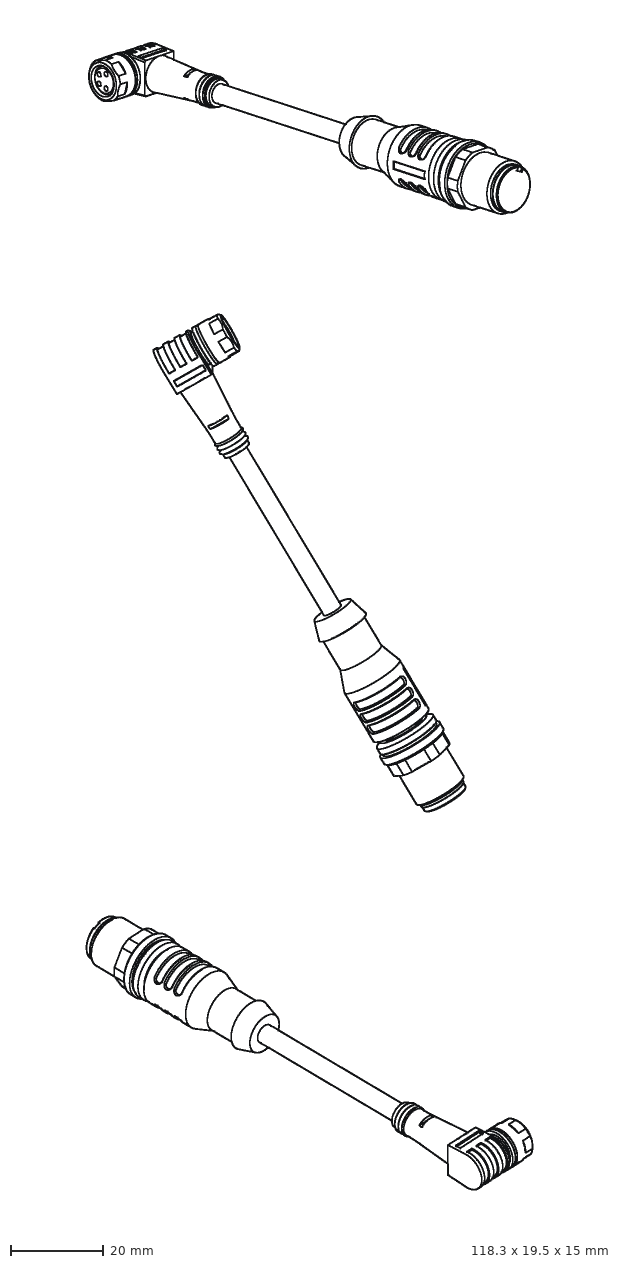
import cadquery as cq
import math

total_length = 118.3
total_depth = 19.5
flange_radius = 15.0 / 2
cut_margin = 1.2

nut_radius = 9.6 / 2
socket_x = nut_radius
head_radius = 4.5
head_x = head_radius
head_half_depth = 4.5
head_end_x = 10.2
head_end_half_height = 4.1
head_chamfer = 0.4
finger_groove_depth = 0.4
finger_groove_width = 1.5
finger_groove_pitch = 2.8
finger_groove_end_x = 5.3
head_window_x = 8.0
head_window_width = 1.4
head_window_length = 7.2
head_window_floor_z = 3.8
sleeve_shoulder_x = 22.2
sleeve_radius = 3.3
sleeve_rings_x = 24.6
sleeve_ring_height = 0.2
sleeve_ring_pitch = 1.1
sleeve_ring_count = 3
sleeve_tip_x = 27.5
sleeve_tip_radius = 3.1
sleeve_end_x = 28.4
sleeve_slot_x = 20.5
sleeve_slot_width = 0.8
sleeve_slot_floor_z = 2.5

neck_radius = 4.0
nut_back_y = -5.2
nut_front_y = flange_radius - total_depth
nut_chamfer = 0.6
nut_groove_y = -6.4
nut_groove_width = 0.6
nut_groove_depth = 0.06
nut_flat_back_y = -9.2
nut_flat_width = 3.1
nut_flat_count = 6
nut_flat_start_angle = 45
nut_bore_radius = 7.0 / 2
nut_bore_depth = 1.8
insert_radius = 6.5 / 2
insert_tip_radius = 5.7 / 2
insert_setback = 0.5
contact_diameter = 1.1
contact_depth = 4.7
contact_places = [(-1.5, 1.1), (-1.5, -1.1), (0.6, 1.7), (0.6, -1.7)]

cable_radius = 4.4 / 2

boot_x = 69.6
boot_radius = 4.6
boot_lip_x = 74.0
boot_lip_radius = 5.9
boot_neck_radius = 10.4 / 2
body_cone_x = 81.8
body_x = 86.6
body_radius = 7.0
body_end_x = 99.2
plug_neck_radius = 9.6 / 2
grip_first_x = 90.0
grip_pitch = 3.0
grip_count = 3
grip_width = 2.2
grip_floor_width = 1.8
grip_floor_radius = 6.5
grip_end_z = 3.0
label_x = 93.1
label_length = 9.6
label_height = 1.8
label_depth = 0.4

coupling_x = 100.1
coupling_edge_radius = 5.9
coupling_rim_x = 100.8
coupling_radius = 7.1
coupling_groove_x = 102.2
coupling_groove_radius = 6.7
flange_x = 102.9
flange_end_x = 105.0
flange_chamfer = 0.4
hex_end_x = 108.0
hex_corner_radius = 14.1 / 2
hex_flat_distance = 6.6
hex_sides = 6
thread_radius = 12.0 / 2
thread_end_x = 116.0
tip_x = 116.4
tip_ridge_radius = 5.3
tip_ridge_width = 0.6
tip_radius = 10.4 / 2
tip_chamfer = 0.2
key_angle = 24
key_width = 1.7
key_depth = 0.41
key_inner_radius = 4.1


def revolve_about_x(points):
    """Turn an (X, radius) outline, closed along the axis, about the X axis."""
    outline = [(points[0][0], 0), *points, (points[-1][0], 0)]
    return cq.Workplane("XY").polyline(outline).close().revolve(360, (0, 0, 0), (1, 0, 0))


def socket_plane(y):
    """Plane facing -Y, centred on the socket axis, with local axes X and Z."""
    return cq.Workplane("XZ", origin=(socket_x, y, 0))


def make_head_core(inset):
    """D-shaped block: round toward -X, with tangent sides narrowing toward +X."""
    radius = head_radius - inset
    end_x = head_end_x - head_x
    end_z = head_end_half_height - inset
    corner_angle = math.atan2(end_z, end_x)
    tangent_angle = corner_angle + math.acos(radius / math.hypot(end_x, end_z))
    tangent_x = radius * math.cos(tangent_angle)
    tangent_z = radius * math.sin(tangent_angle)
    return (
        cq.Workplane("XZ", origin=(head_x, 0, 0))
        .moveTo(tangent_x, tangent_z)
        .threePointArc((-radius, 0), (tangent_x, -tangent_z))
        .lineTo(end_x, -end_z)
        .lineTo(end_x, end_z)
        .close()
        .extrude(head_half_depth, both=True)
    )


def make_head():
    head = make_head_core(0).faces("<Y").edges("not(>X)").chamfer(head_chamfer)
    core = make_head_core(finger_groove_depth)
    band_length = finger_groove_end_x + cut_margin
    for step in (-1, 0, 1):
        band = cq.Workplane("XY").box(band_length, finger_groove_width, 4 * head_radius)
        band = band.translate(
            (finger_groove_end_x - band_length / 2, step * finger_groove_pitch, 0)
        )
        head = head.cut(band.cut(core))
    for side in (-1, 1):
        window = cq.Workplane("XY").box(head_window_width, head_window_length, 2 * cut_margin)
        head = head.cut(window.translate((head_window_x, 0, side * (head_window_floor_z + cut_margin))))
    return head


def make_sleeve():
    profile = (
        cq.Workplane("XY")
        .moveTo(head_end_x, 0)
        .lineTo(head_end_x, head_end_half_height)
        .lineTo(sleeve_shoulder_x, sleeve_radius)
        .lineTo(sleeve_rings_x, sleeve_radius)
    )
    half_pitch = sleeve_ring_pitch / 2
    for index in range(2 * sleeve_ring_count - 1):
        start_x = sleeve_rings_x + index * half_pitch
        height = sleeve_ring_height if index % 2 == 0 else -sleeve_ring_height
        profile = profile.threePointArc(
            (start_x + half_pitch / 2, sleeve_radius + height),
            (start_x + half_pitch, sleeve_radius),
        )
    sleeve = (
        profile.lineTo(sleeve_tip_x, sleeve_tip_radius)
        .lineTo(sleeve_end_x, sleeve_tip_radius)
        .lineTo(sleeve_end_x, 0)
        .close()
        .revolve(360, (0, 0, 0), (1, 0, 0))
    )
    for side in (-1, 1):
        slot = cq.Workplane("XY").box(sleeve_slot_width, 4 * sleeve_radius, 2 * cut_margin)
        sleeve = sleeve.cut(slot.translate((sleeve_slot_x, 0, side * (sleeve_slot_floor_z + cut_margin))))
    return sleeve


def make_nut():
    length = nut_back_y - nut_front_y
    nut = socket_plane(nut_back_y).circle(nut_radius).extrude(length).faces("<Y").chamfer(nut_chamfer)
    groove = (
        socket_plane(nut_groove_y + nut_groove_width / 2)
        .circle(nut_radius + cut_margin)
        .circle(nut_radius - nut_groove_depth)
        .extrude(nut_groove_width)
    )
    nut = nut.cut(groove)
    flat_distance = math.sqrt(nut_radius**2 - (nut_flat_width / 2) ** 2)
    for index in range(nut_flat_count):
        angle = nut_flat_start_angle + index * 360 / nut_flat_count
        flat = (
            socket_plane(nut_flat_back_y)
            .transformed(rotate=(0, 0, angle))
            .center(flat_distance + cut_margin, 0)
            .rect(2 * cut_margin, 2 * nut_radius)
            .extrude(nut_flat_back_y - nut_front_y)
        )
        nut = nut.cut(flat)

    bore_floor_y = nut_front_y + nut_bore_depth
    nut = nut.cut(socket_plane(bore_floor_y).circle(nut_bore_radius).extrude(nut_bore_depth))
    insert = (
        socket_plane(bore_floor_y)
        .circle(insert_radius)
        .extrude(nut_bore_depth - insert_setback)
        .faces("<Y")
        .chamfer(insert_radius - insert_tip_radius)
    )
    contacts = (
        socket_plane(nut_front_y + contact_depth)
        .pushPoints(contact_places)
        .circle(contact_diameter / 2)
        .extrude(contact_depth)
    )
    neck = socket_plane(-head_half_depth).circle(neck_radius).extrude(-head_half_depth - nut_back_y)
    return nut.union(insert).cut(contacts).union(neck)


def make_cable():
    start_x = sleeve_end_x - cut_margin
    length = boot_x + cut_margin - start_x
    return cq.Workplane("YZ", origin=(start_x, 0, 0)).circle(cable_radius).extrude(length)


def make_plug():
    return revolve_about_x(
        [
            (boot_x, boot_radius),
            (boot_lip_x, boot_lip_radius),
            (boot_lip_x, boot_neck_radius),
            (body_cone_x, boot_neck_radius),
            (body_x, body_radius),
            (body_end_x, body_radius),
            (body_end_x, plug_neck_radius),
            (coupling_x, plug_neck_radius),
            (coupling_x, coupling_edge_radius),
            (coupling_rim_x, coupling_radius),
            (coupling_groove_x, coupling_radius),
            (coupling_groove_x, coupling_groove_radius),
            (flange_x, coupling_groove_radius),
            (flange_x, flange_radius),
            (flange_end_x - flange_chamfer, flange_radius),
            (flange_end_x, flange_radius - flange_chamfer),
            (flange_end_x, hex_corner_radius),
            (hex_end_x, hex_corner_radius),
            (hex_end_x, thread_radius),
            (thread_end_x, thread_radius),
            (tip_x, tip_ridge_radius),
            (tip_x + tip_ridge_width, tip_ridge_radius),
            (tip_x + tip_ridge_width, tip_radius),
            (total_length - tip_chamfer, tip_radius),
            (total_length, tip_radius - tip_chamfer),
        ]
    )


def cut_grips(plug):
    """Cut round-ended finger grips that wrap over the top and bottom of the plug body."""
    reach = body_radius + cut_margin
    half_width = grip_width / 2
    half_floor = grip_floor_width / 2
    window_length = 2 * reach
    for index in range(grip_count):
        x = grip_first_x + index * grip_pitch
        ring = (
            cq.Workplane("XY")
            .moveTo(x - half_floor, grip_floor_radius)
            .lineTo(x + half_floor, grip_floor_radius)
            .lineTo(x + half_width, body_radius)
            .lineTo(x + half_width, reach)
            .lineTo(x - half_width, reach)
            .lineTo(x - half_width, body_radius)
            .close()
            .revolve(360, (0, 0, 0), (1, 0, 0))
        )
        for side in (-1, 1):
            window = (
                cq.Workplane("XZ")
                .center(x, side * (grip_end_z + window_length / 2))
                .slot2D(window_length, grip_width, 90)
                .extrude(reach, both=True)
            )
            plug = plug.cut(ring.intersect(window))
    return plug


def cut_label(plug):
    label = cq.Workplane("XY").box(label_length, 2 * cut_margin, label_height)
    return plug.cut(label.translate((label_x, -(body_radius - label_depth + cut_margin), 0)))


def cut_hex_flats(plug):
    length = hex_end_x - flange_end_x
    for index in range(hex_sides):
        flat = cq.Workplane("XY").box(length, 2 * hex_corner_radius, 2 * cut_margin)
        flat = flat.translate((flange_end_x + length / 2, 0, hex_flat_distance + cut_margin))
        plug = plug.cut(flat.rotate((0, 0, 0), (1, 0, 0), index * 360 / hex_sides))
    return plug


def cut_key_notch(plug):
    height = tip_radius + cut_margin - key_inner_radius
    notch = cq.Workplane("XY").box(2 * key_depth, key_width, height)
    notch = notch.translate((total_length, 0, key_inner_radius + height / 2))
    return plug.cut(notch.rotate((0, 0, 0), (1, 0, 0), -key_angle))


plug_end = cut_key_notch(cut_hex_flats(cut_label(cut_grips(make_plug()))))
socket_end = make_head().union(make_sleeve()).union(make_nut())
result = socket_end.union(make_cable()).union(plug_end)